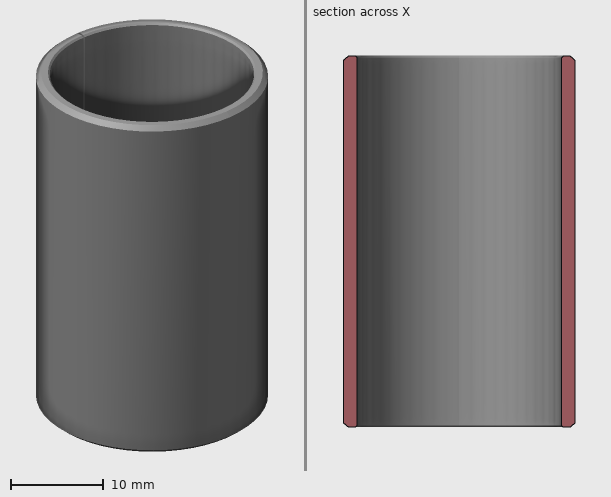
import cadquery as cq

length = 40.0
outer_diameter = 25.0
inner_diameter = 22.0

outer_chamfer_radial = 0.55
outer_chamfer_axial = 0.5
inner_chamfer = 0.2

slit_width = 0.2

outer_radius = outer_diameter / 2
inner_radius = inner_diameter / 2
half_length = length / 2


def make_sleeve():
    """Revolve the chamfered wall section about Z."""
    upper_half = [
        (outer_radius, half_length - outer_chamfer_axial),
        (outer_radius - outer_chamfer_radial, half_length),
        (inner_radius + inner_chamfer, half_length),
        (inner_radius, half_length - inner_chamfer),
    ]
    lower_half = [(radius, -height) for radius, height in reversed(upper_half)]
    section = cq.Workplane("XZ").polyline(upper_half + lower_half).close()
    return section.revolve(360, (0, 0, 0), (0, 1, 0))


def make_slit():
    """Full-length cutter from the axis out past the -X side."""
    cutter = cq.Workplane("XY").box(outer_diameter, slit_width, 2 * length)
    return cutter.translate((-outer_radius, slit_width / 2, 0))


result = make_sleeve().cut(make_slit())